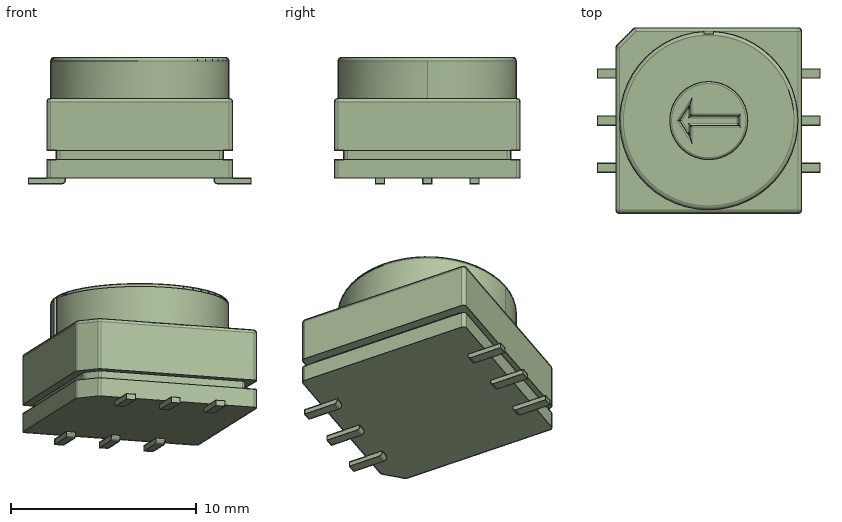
import cadquery as cq
import math

housing_width = 10.0
lead_span = 12.0
corner_round = 0.2
top_round = 0.2
key_chamfer = 1.0

lead_thickness = 0.3
base_thickness = 1.0
neck_thickness = 0.5
cover_thickness = 2.8
dial_thickness = 2.2

base_bottom = lead_thickness
neck_bottom = base_bottom + base_thickness
cover_bottom = neck_bottom + neck_thickness
dial_bottom = cover_bottom + cover_thickness
dial_top = dial_bottom + dial_thickness

neck_inset = 0.5

lead_pitch = 2.54
lead_width = 0.5
lead_length = 2.0
lead_bend_round = 0.2

dial_diameter = 9.6
dial_notch_width = 0.5
dial_notch_depth = 0.14

rotor_diameter = 4.2
rotor_round = 0.1
slot_depth = 1.0
slot_round = 0.1
arrow_tip_x = -1.58
arrow_barb_x = -1.0
arrow_tail_x = 1.62
arrow_head_half_width = 0.89
arrow_shaft_half_width = 0.25


def keyed_plate(inset, bottom, thickness):
    """Square plate with one cut-off corner, shrunk evenly by the inset on every side."""
    half = housing_width / 2 - inset
    leg = key_chamfer - inset * (2 - math.sqrt(2))
    outline = [
        (-half, -half),
        (half, -half),
        (half, half),
        (-half + leg, half),
        (-half, half - leg),
    ]
    plate = cq.Workplane("XY").workplane(offset=bottom).polyline(outline).close().extrude(thickness)
    return plate.edges("|Z").fillet(corner_round)


def make_lead(side, y):
    """Flat foot under the base; side is -1 or +1 along X."""
    center_x = side * (lead_span - lead_length) / 2
    lead = cq.Workplane("XY").box(lead_length, lead_width, lead_thickness, centered=(True, True, False))
    inner_side = "<X" if side > 0 else ">X"
    lead = lead.faces(inner_side).edges("<Z").fillet(lead_bend_round)
    return lead.translate((center_x, y, 0))


def make_base():
    """Bottom plate with three leads along each of its X sides."""
    base = keyed_plate(0, base_bottom, base_thickness)
    for side in (-1, 1):
        for row in (-1, 0, 1):
            base = base.union(make_lead(side, row * lead_pitch))
    return base


def make_neck():
    """Inset plate that leaves a groove between the base and the cover."""
    return keyed_plate(neck_inset, neck_bottom, neck_thickness)


def make_cover():
    """Upper housing with a rounded top rim."""
    cover = keyed_plate(0, cover_bottom, cover_thickness)
    return cover.faces(">Z").edges().fillet(top_round)


def make_dial():
    """Ring around the rotor with a small index notch in its +Y side."""
    dial = cq.Workplane("XY").workplane(offset=dial_bottom).circle(dial_diameter / 2).extrude(dial_thickness)
    dial = dial.faces(">Z").edges().fillet(top_round)
    bore = cq.Workplane("XY").workplane(offset=dial_bottom).circle(rotor_diameter / 2).extrude(dial_thickness)
    notch = (
        cq.Workplane("XY")
        .workplane(offset=dial_bottom)
        .center(0, dial_diameter / 2)
        .rect(dial_notch_width, 2 * dial_notch_depth)
        .extrude(dial_thickness)
    )
    return dial.cut(bore).cut(notch)


def make_rotor():
    """Round rotor, flush with the dial, with a round-edged arrow slot pointing to -X."""
    rotor = cq.Workplane("XY").workplane(offset=dial_bottom).circle(rotor_diameter / 2).extrude(dial_thickness)
    rotor = rotor.faces(">Z").edges().fillet(rotor_round)
    arrow = [
        (arrow_tip_x, 0),
        (arrow_barb_x, -arrow_head_half_width),
        (arrow_barb_x, -arrow_shaft_half_width),
        (arrow_tail_x, -arrow_shaft_half_width),
        (arrow_tail_x, arrow_shaft_half_width),
        (arrow_barb_x, arrow_shaft_half_width),
        (arrow_barb_x, arrow_head_half_width),
    ]
    slot = cq.Workplane("XY").workplane(offset=dial_top).polyline(arrow).close().extrude(-slot_depth)
    slot = slot.faces("<Z").edges().fillet(slot_round)
    rotor = rotor.cut(slot)
    slot_rim = rotor.faces(">Z").edges("not %CIRCLE")
    return slot_rim.fillet(slot_round)


base = make_base()
neck = make_neck()
cover = make_cover()
dial = make_dial()
rotor = make_rotor()

result = cq.Compound.makeCompound([base.val(), neck.val(), cover.val(), dial.val(), rotor.val()])